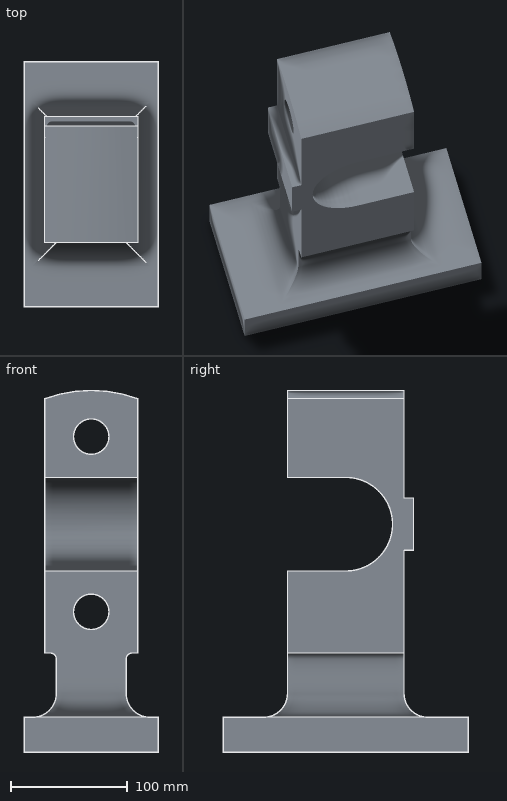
import cadquery as cq

base_width = 115.0
base_length = 210.0
base_height = 30.0

total_height = 309.7
body_width = 80.0
body_depth = 100.0
body_bottom = 85.0
neck_width = 60.0
flare_radius = 20.0
shelf_fillet = 5.0

slot_radius = 40.0
slot_height = 195.0
crown_radius = total_height - slot_height

bolt_diameter = 30.0
bolt_offset = 75.0

pad_thickness = 8.0
pad_height = 45.0


def make_base():
    return cq.Workplane("XY").box(base_width, base_length, base_height, centered=(True, True, False))


def flare_profile(plane, width, length):
    """Prism whose two sides sweep outwards in quarter circles onto the base."""
    half = width / 2
    top = base_height + flare_radius
    foot = half + flare_radius
    sweep = flare_radius * (1 - 0.5**0.5)
    return (
        cq.Workplane(plane)
        .moveTo(-foot, base_height)
        .lineTo(foot, base_height)
        .threePointArc((half + sweep, base_height + sweep), (half, top))
        .lineTo(-half, top)
        .threePointArc((-half - sweep, base_height + sweep), (-foot, base_height))
        .close()
        .extrude(length / 2, both=True)
    )


def make_flare():
    """Concave foot of the neck; crossing two prisms gives its mitred corners."""
    across = flare_profile("XZ", neck_width, base_length)
    along = flare_profile("YZ", body_depth, base_width)
    return across.intersect(along)


def make_neck():
    return (
        cq.Workplane("XY")
        .workplane(offset=base_height)
        .rect(neck_width, body_depth)
        .extrude(body_bottom - base_height)
    )


def make_body():
    half = body_width / 2
    shoulder = slot_height + (crown_radius**2 - half**2) ** 0.5
    return (
        cq.Workplane("XZ")
        .moveTo(-half, body_bottom)
        .lineTo(half, body_bottom)
        .lineTo(half, shoulder)
        .threePointArc((0, total_height), (-half, shoulder))
        .close()
        .extrude(body_depth / 2, both=True)
    )


def make_shelf_fillet(side):
    """Concave fillet between the neck and the underside of the body."""
    wall = side * neck_width / 2
    reach = shelf_fillet * (1 - 0.5**0.5)
    return (
        cq.Workplane("XZ")
        .moveTo(wall, body_bottom)
        .lineTo(wall, body_bottom - shelf_fillet)
        .threePointArc(
            (wall + side * reach, body_bottom - reach),
            (wall + side * shelf_fillet, body_bottom),
        )
        .close()
        .extrude(body_depth / 2, both=True)
    )


def make_pad():
    return cq.Workplane("XY").box(body_width, pad_thickness, pad_height).translate(
        (0, (body_depth + pad_thickness) / 2, slot_height)
    )


def make_slot():
    round_end = (
        cq.Workplane("YZ")
        .center(0, slot_height)
        .circle(slot_radius)
        .extrude(body_width, both=True)
    )
    mouth = cq.Workplane("XY").box(2 * body_width, body_depth, 2 * slot_radius).translate(
        (0, -body_depth / 2, slot_height)
    )
    return round_end.union(mouth)


def make_bolt_holes():
    return (
        cq.Workplane("XZ")
        .pushPoints([(0, slot_height - bolt_offset), (0, slot_height + bolt_offset)])
        .circle(bolt_diameter / 2)
        .extrude(body_depth, both=True)
    )


result = make_base().union(make_flare()).union(make_neck()).union(make_body()).union(make_pad())
for side in (-1, 1):
    result = result.union(make_shelf_fillet(side))
result = result.cut(make_slot()).cut(make_bolt_holes())